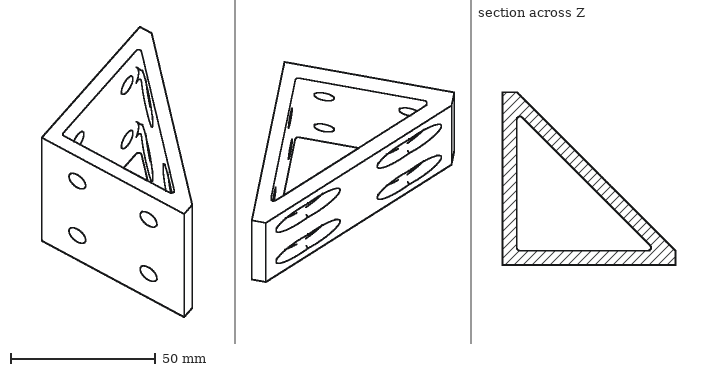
import cadquery as cq
import math

leg = 60.0
height = 57.0
wall = leg / 12
corner_radius = 1.0

hole_diameter = 7.0
access_diameter = 14.0
hole_spacing = leg / 2
hole_offsets = [(leg - hole_spacing) / 2, (leg + hole_spacing) / 2]
hole_heights = [(height - hole_spacing) / 2, (height + hole_spacing) / 2]

outer_diagonal = leg + wall
inner_diagonal = outer_diagonal - wall * math.sqrt(2)
cavity_end = inner_diagonal - wall


def bracket_body():
    outer = (
        cq.Workplane("XY")
        .polyline([(0, 0), (leg, 0), (leg, wall), (wall, leg), (0, leg)])
        .close()
        .extrude(height)
    )
    cavity = (
        cq.Workplane("XY")
        .polyline([(wall, wall), (cavity_end, wall), (wall, cavity_end)])
        .close()
        .extrude(height)
        .edges("|Z")
        .fillet(corner_radius)
    )
    return outer.cut(cavity)


def stepped_hole(start, direction):
    """Screw hole through a plate, widening to the access bore at the plate's inner face."""
    inner_face = start + direction * wall
    screw = cq.Solid.makeCylinder(hole_diameter / 2, wall, start, direction)
    access = cq.Solid.makeCylinder(access_diameter / 2, leg, inner_face, direction)
    return screw.fuse(access)


result = bracket_body()
for offset in hole_offsets:
    for z in hole_heights:
        result = result.cut(stepped_hole(cq.Vector(offset, 0, z), cq.Vector(0, 1, 0)))
        result = result.cut(stepped_hole(cq.Vector(0, offset, z), cq.Vector(1, 0, 0)))